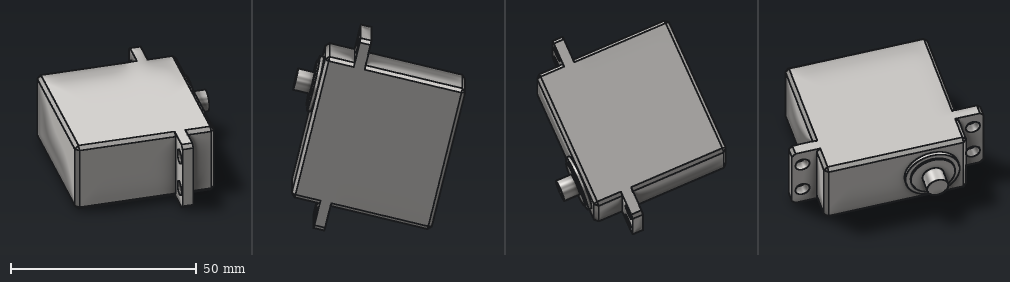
import cadquery as cq

case_width = 40.0
case_length = 39.0
height = 20.0
edge_chamfer = 1.0

plate_width = 54.0
plate_thickness = 3.0
plate_setback = 8.0
hole_diameter = 4.0
hole_spacing_x = 48.0
hole_spacing_z = 10.0

shaft_x = -10.0
shaft_diameter = 6.0
shaft_length = 6.0
large_collar_diameter = 15.3
large_collar_height = 1.0
small_collar_diameter = 12.5
small_collar_height = 1.5

output_face_y = case_length / 2


def make_case():
    return cq.Workplane("XY").box(case_width, case_length, height).edges().chamfer(edge_chamfer)


def make_mounting_plate():
    plate_y = output_face_y - plate_setback - plate_thickness / 2
    plate = cq.Workplane("XY").box(plate_width, plate_thickness, height)
    plate = plate.edges("|Y").chamfer(edge_chamfer)
    plate = (
        plate.faces("<Y")
        .workplane(centerOption="CenterOfBoundBox")
        .rarray(hole_spacing_x, hole_spacing_z, 2, 2)
        .hole(hole_diameter)
    )
    return plate.translate((0, plate_y, 0))


def make_output_disc(diameter, length):
    """Cylinder on the shaft axis, standing out of the output face along +Y."""
    disc = cq.Workplane("XZ").circle(diameter / 2).extrude(-length)
    return disc.translate((shaft_x, output_face_y, 0))


result = (
    make_case()
    .union(make_mounting_plate())
    .union(make_output_disc(large_collar_diameter, large_collar_height))
    .union(make_output_disc(small_collar_diameter, small_collar_height))
    .union(make_output_disc(shaft_diameter, shaft_length))
)